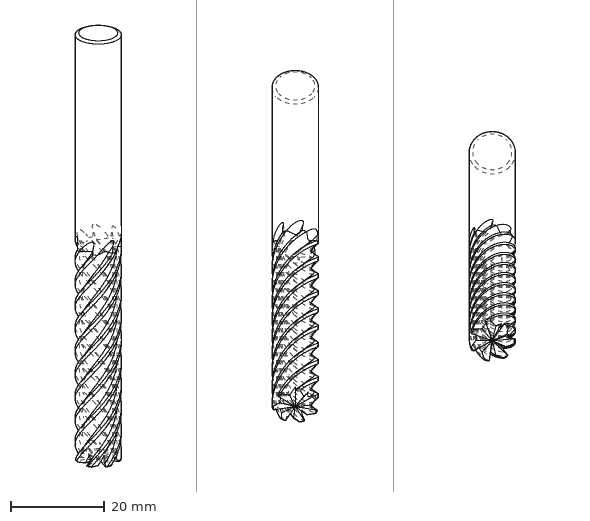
import cadquery as cq
import math


overall_length = 100
diameter = 10
shank_length = 40
cutting_length = 50
end_chamfer_radial = 0.8
end_chamfer_axial = 0.4
flute_count = 7
helix_angle = 40
corner_chamfer = 0.3
runout_length = 3

flank_end_radius = 3.5
core_radius = 3.4
rake_start_radius = 4.1
land_angle = 11
flank_end_angle = 32
core_angle = 38
rake_start_angle = 46

edge_angle_at_neck = -61

gash_rise_angle = 32
gash_flank_angle = 35
gash_height = 4

radius = diameter / 2
pitch_angle = 360 / flute_count
lead = math.pi * diameter / math.tan(math.radians(helix_angle))
cutting_twist = 360 * cutting_length / lead
edge_angle_at_tip = edge_angle_at_neck - cutting_twist
shank_bottom = overall_length - shank_length


def polar(point_radius, angle):
    a = math.radians(angle)
    return (point_radius * math.cos(a), point_radius * math.sin(a))


def fluted_bar():
    """Bar with the tooth section, twisted along the cutting length."""
    outline = cq.Workplane("XY").moveTo(*polar(radius, edge_angle_at_tip))
    for tooth in range(flute_count):
        edge = edge_angle_at_tip + tooth * pitch_angle
        outline = (
            outline.threePointArc(polar(radius, edge + land_angle / 2), polar(radius, edge + land_angle))
            .lineTo(*polar(flank_end_radius, edge + flank_end_angle))
            .threePointArc(
                polar(core_radius, edge + core_angle),
                polar(rake_start_radius, edge + rake_start_angle),
            )
            .lineTo(*polar(radius, edge + pitch_angle))
        )
    return outline.close().twistExtrude(cutting_length, cutting_twist)


def corner_ring():
    """Ring with a 45 degree inner slope that chamfers the tooth corners."""
    inner = radius - corner_chamfer
    outer = radius + corner_chamfer
    below = -corner_chamfer
    return (
        cq.Workplane("XZ")
        .polyline([(inner, 0), (inner, below), (outer, below), (outer, 2 * corner_chamfer)])
        .close()
        .revolve(360, (0, 0), (0, 1))
    )


def end_gash(edge):
    """Notch with one upright face beside a cutting edge at the given angle."""
    width = gash_height * math.tan(math.radians(gash_flank_angle))
    return (
        cq.Workplane("YZ")
        .polyline([(0, 0), (0, -gash_height), (-width, -gash_height)])
        .close()
        .extrude(diameter)
        .rotate((0, 0, 0), (0, 1, 0), -gash_rise_angle)
        .rotate((0, 0, 0), (0, 0, 1), edge)
    )


def make_cutter():
    """Fluted cutting part with chamfered corners and gashed end."""
    cutter = fluted_bar().cut(corner_ring())
    for tooth in range(flute_count):
        cutter = cutter.cut(end_gash(edge_angle_at_tip + tooth * pitch_angle))
    return cutter


def flute_runout(edge):
    """Flute section swept upward and outward until it leaves the neck."""
    core_x, core_y = polar(core_radius, edge + core_angle)
    rake_x, rake_y = polar(radius, edge + pitch_angle)
    clear_radius = 2 * radius
    section = (
        cq.Workplane("XY", origin=(0, 0, cutting_length))
        .moveTo(*polar(radius, edge + land_angle))
        .lineTo(*polar(flank_end_radius, edge + flank_end_angle))
        .threePointArc((core_x, core_y), polar(rake_start_radius, edge + rake_start_angle))
        .lineTo(rake_x, rake_y)
        .lineTo(*polar(clear_radius, edge + pitch_angle))
        .lineTo(*polar(clear_radius, edge + core_angle))
        .close()
    )
    direction = cq.Vector(rake_x - core_x, rake_y - core_y, runout_length)
    return cq.Workplane(cq.Solid.extrudeLinear(section.val(), [], direction))


def make_shank():
    """Shank and neck, with the flutes running out at the lower end."""
    chamfer_bottom = overall_length - end_chamfer_axial
    shank = (
        cq.Workplane("YZ")
        .polyline(
            [
                (0, cutting_length),
                (-radius, cutting_length),
                (-radius, shank_bottom),
                (-radius, chamfer_bottom),
                (end_chamfer_radial - radius, overall_length),
                (0, overall_length),
            ]
        )
        .close()
        .revolve(360, (0, 0), (0, 1), clean=False)
    )
    for tooth in range(flute_count):
        shank = shank.cut(flute_runout(edge_angle_at_neck + tooth * pitch_angle), clean=False)
    return shank


cutter = make_cutter()
shank = make_shank()
result = cq.Compound.makeCompound([cutter.val(), shank.val()])